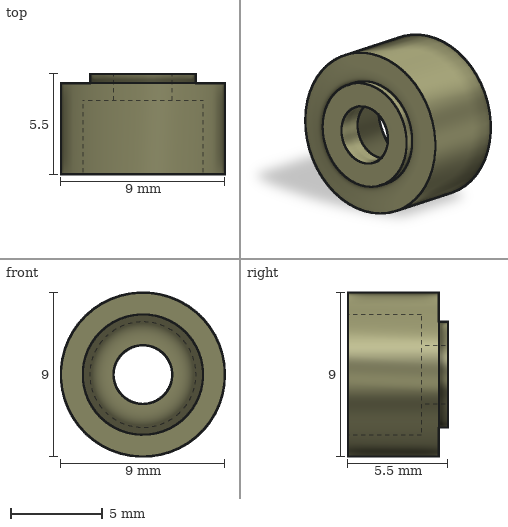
import cadquery as cq

body_diameter = 9.0
body_length = 4.995
boss_diameter = 5.805
boss_length = 0.5
counterbore_diameter = 6.6
counterbore_depth = 4.05
hole_diameter = 3.2

total_length = body_length + boss_length


def cylinder_along_y(diameter, length, start=0.0):
    """Cylinder on the Y axis, running from start toward +Y."""
    circle = cq.Workplane("XZ", origin=(0, start, 0)).circle(diameter / 2)
    return circle.extrude(-length)


body = cylinder_along_y(body_diameter, body_length)
boss = cylinder_along_y(boss_diameter, boss_length, start=body_length)

counterbore = cylinder_along_y(counterbore_diameter, counterbore_depth)
through_hole = cylinder_along_y(hole_diameter, total_length)

result = body.union(boss).cut(counterbore).cut(through_hole)